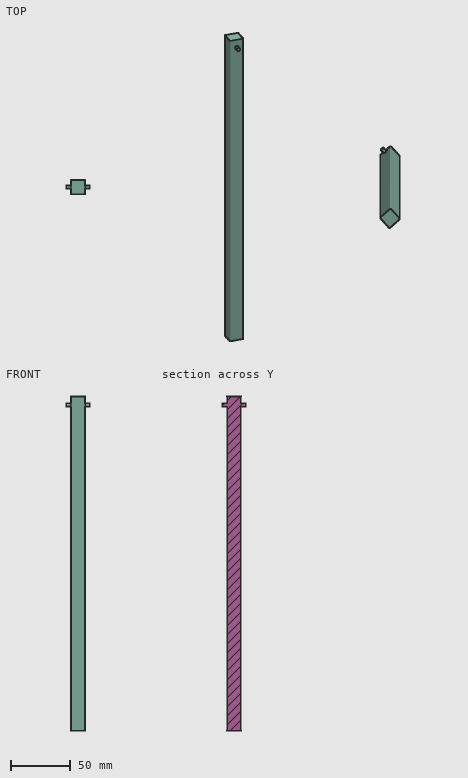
import cadquery as cq

bar_length = 280.0
bar_side = 12.0
bar_edge_radius = 0.5
pin_span = 20.0
pin_diameter = 3.0
pin_below_top = 7.3

bar = (
    cq.Workplane("XY")
    .box(bar_side, bar_side, bar_length, centered=(True, True, False))
    .edges("|Z")
    .fillet(bar_edge_radius)
)

pin = (
    cq.Workplane("YZ")
    .center(0, bar_length - pin_below_top)
    .circle(pin_diameter / 2)
    .extrude(pin_span / 2, both=True)
)

result = bar.union(pin)